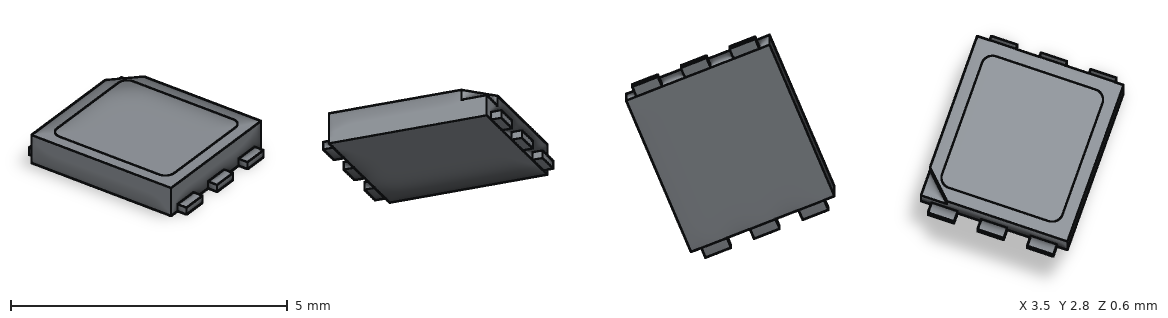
import cadquery as cq

overall_length = 3.5
housing_width = 2.8
housing_height = 0.6

lead_reach = 0.2
lead_width = 0.5
lead_thickness = 0.15
lead_pitch = 0.95
leads_per_side = 3

housing_length = overall_length - 2 * lead_reach

window_margin = 0.25
window_length = housing_length - 2 * window_margin
window_width = housing_width - 2 * window_margin
window_corner_radius = 0.2
window_depth = housing_height - lead_thickness

notch_leg = 0.5
notch_depth = 0.2


def make_window_block():
    """Rounded block that is both the cavity shape and its filling."""
    return (
        cq.Workplane("XY")
        .workplane(offset=housing_height - window_depth)
        .rect(window_length, window_width)
        .extrude(window_depth)
        .edges("|Z")
        .fillet(window_corner_radius)
    )


def make_polarity_notch():
    """Triangular prism removed from the top of the marked corner."""
    corner_x = -housing_length / 2
    corner_y = housing_width / 2
    return (
        cq.Workplane("XY")
        .workplane(offset=housing_height - notch_depth)
        .moveTo(corner_x, corner_y)
        .lineTo(corner_x + notch_leg, corner_y)
        .lineTo(corner_x, corner_y - notch_leg)
        .close()
        .extrude(notch_depth)
    )


def make_housing():
    """Rectangular housing with its cavity and polarity notch."""
    block = cq.Workplane("XY").box(
        housing_length, housing_width, housing_height, centered=(True, True, False)
    )
    return block.cut(make_window_block()).cut(make_polarity_notch())


def make_lead(side, y):
    """One lead against the -X (side = -1) or +X (side = 1) face of the housing."""
    center_x = side * (housing_length + lead_reach) / 2
    return (
        cq.Workplane("XY")
        .box(lead_reach, lead_width, lead_thickness, centered=(True, True, False))
        .translate((center_x, y, 0))
    )


housing = make_housing()
encapsulant = make_window_block()

leads = []
for side in (-1, 1):
    for index in range(leads_per_side):
        lead_y = (index - (leads_per_side - 1) / 2) * lead_pitch
        leads.append(make_lead(side, lead_y).val())

result = cq.Compound.makeCompound([housing.val(), encapsulant.val(), *leads])